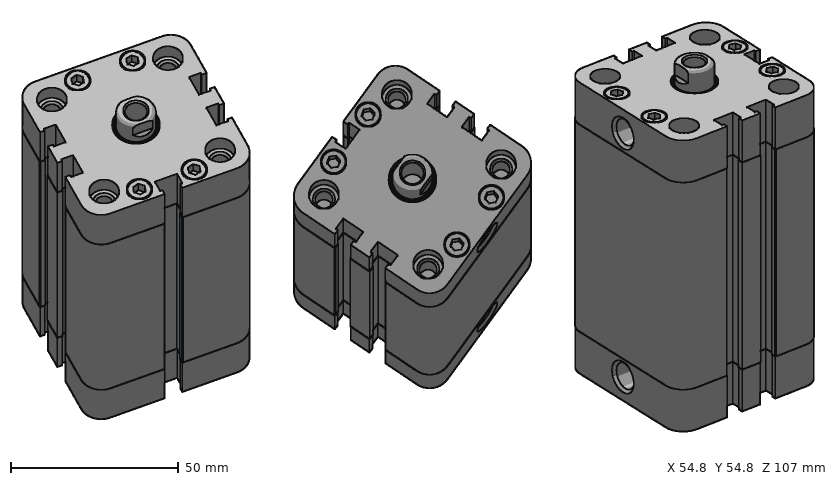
import cadquery as cq
import math

total_height = 107.0
cylinder_height = 100.0
cap_height = 14.4
top_cap_base = cylinder_height - cap_height

barrel_width = 54.8
barrel_corner_radius = 6.8
cap_corner_radius = 6.5
cap_inset = 0.1
cap_side = barrel_width / 2 - cap_inset

slot_depth = 5.5
slot_width = 7.1
mouth_width = 5.6
lip_depth = 1.8
lip_chamfer = 0.3
slot_offset = 6.3

mount_spacing = 38.0
mount_bore_diameter = 9.0
mount_bore_depth = 5.0
thread_diameter = 5.2
thread_mouth_diameter = 6.6

screw_spacing_x = 44.9
screw_spacing_y = 18.0
screw_seat_diameter = 7.7
screw_head_diameter = 7.1
screw_gap_depth = 0.4
screw_socket_across_flats = 3.5
screw_socket_depth = 3.2
screw_socket_turn = 45
hexagon_sides = 6

port_diameter = 8.6
port_mouth_diameter = 10.5
port_chamfer = (port_mouth_diameter - port_diameter) / 2
port_floor_diameter = 40.0
port_end_distance = 8.1

rod_diameter = 12.0
rod_fillet = 1.2
wiper_mouth_diameter = 14.3
wiper_seat_diameter = 13.7
wiper_floor_diameter = 12.5
wiper_depth = 0.5
wiper_mouth_depth = (wiper_mouth_diameter - wiper_seat_diameter) / 2
flat_spacing = 10.1
flat_bottom = 102.7
rod_thread_diameter = 6.6
rod_thread_mouth_diameter = 7.7
rod_thread_depth = 12.8


def cone(lower_diameter, upper_diameter, height, base_z):
    """A Z-axis cone frustum whose lower face is at base_z."""
    solid = cq.Solid.makeCone(lower_diameter / 2, upper_diameter / 2, height)
    return cq.Workplane(solid).translate((0, 0, base_z))


def cylinder(diameter, height, base_z):
    """A Z-axis cylinder whose lower face is at base_z."""
    return cq.Workplane().workplane(offset=base_z).circle(diameter / 2).extrude(height)


def t_slots(inset):
    """Cutters for two slots in each Y side and one in the +X side, enlarged all round by inset."""
    side = barrel_width / 2
    floor = side - slot_depth - inset
    cavity_width = slot_width + 2 * inset
    narrow_width = mouth_width + 2 * inset
    cavity = cq.Workplane().box(
        cavity_width, side - lip_depth + inset - floor, cylinder_height, centered=(True, False, False)
    )
    mouth = cq.Workplane().box(narrow_width, side - floor, cylinder_height, centered=(True, False, False))
    slot = cavity.union(mouth).translate((0, floor, 0))
    cutters = slot.rotate((0, 0, 0), (0, 0, 1), -90)
    for turn in (0, 180):
        for offset in (-slot_offset, slot_offset):
            cutters = cutters.union(slot.translate((offset, 0, 0)).rotate((0, 0, 0), (0, 0, 1), turn))
    return cutters


def lip_chamfers():
    """Cutters that break the outer edges of the slot lips, except those of the ribs between slots."""
    side = barrel_width / 2
    wedge = (
        cq.Workplane()
        .moveTo(mouth_width / 2, side)
        .lineTo(mouth_width / 2 + lip_chamfer, side)
        .lineTo(mouth_width / 2, side - lip_chamfer)
        .close()
        .extrude(cylinder_height)
    )
    side_wedges = wedge.union(wedge.mirror("YZ"))
    cutters = side_wedges.rotate((0, 0, 0), (0, 0, 1), -90)
    outer_wedge = wedge.translate((slot_offset, 0, 0))
    outer_pair = outer_wedge.union(outer_wedge.mirror("YZ"))
    return cutters.union(outer_pair).union(outer_pair.mirror("XZ"))


def profile_block(inset, radius, base_z, height):
    """A slotted block whose flat sides are set back from those of the barrel by inset."""
    width = barrel_width - 2 * inset
    block = cq.Workplane().workplane(offset=base_z).rect(width, width).extrude(height)
    return block.edges("|Z").fillet(radius).cut(t_slots(inset))


def port(center_z):
    """Cutter for a port with a chamfered mouth in the -X side and a floor curved about the Z axis."""
    bore = cylinder(port_diameter, cap_side, 0)
    mouth = cone(port_mouth_diameter, port_diameter, port_chamfer, 0)
    cutter = bore.union(mouth).rotate((0, 0, 0), (0, 1, 0), 90)
    core = cylinder(port_floor_diameter, cylinder_height, 0)
    return cutter.translate((-cap_side, 0, center_z)).cut(core)


def mounting_hole():
    """Cutter for a counterbored thread hole through the top cap, on the Z axis."""
    seat_z = cylinder_height - mount_bore_depth
    chamfer = (thread_mouth_diameter - thread_diameter) / 2
    thread = cylinder(thread_diameter, seat_z - top_cap_base, top_cap_base)
    mouth = cone(thread_diameter, thread_mouth_diameter, chamfer, seat_z - chamfer)
    bore = cylinder(mount_bore_diameter, mount_bore_depth, seat_z)
    return thread.union(mouth).union(bore)


def screw_recess():
    """Cutter for the annular gap around a screw head and its hexagon socket, on the Z axis."""
    gap = cylinder(screw_seat_diameter, screw_gap_depth, cylinder_height - screw_gap_depth).cut(
        cylinder(screw_head_diameter, screw_gap_depth, cylinder_height - screw_gap_depth)
    )
    across_corners = screw_socket_across_flats / math.cos(math.pi / hexagon_sides)
    socket = (
        cq.Workplane()
        .workplane(offset=cylinder_height - screw_socket_depth)
        .polygon(hexagon_sides, across_corners)
        .extrude(screw_socket_depth)
        .rotate((0, 0, 0), (0, 0, 1), screw_socket_turn)
    )
    return gap.union(socket)


def at_corners(cutter, spacing_x, spacing_y):
    """Copies of a Z-axis cutter at the four corners of a rectangle."""
    copies = cq.Workplane()
    for side_x in (-1, 1):
        for side_y in (-1, 1):
            copies = copies.add(cutter.translate((side_x * spacing_x / 2, side_y * spacing_y / 2, 0)))
    return copies.combine()


def wiper_recess():
    """Cutter for the stepped conical recess around the rod in the top face."""
    seat = cone(wiper_floor_diameter, wiper_seat_diameter, wiper_depth, cylinder_height - wiper_depth)
    mouth_z = cylinder_height - wiper_mouth_depth
    mouth = cone(wiper_seat_diameter, wiper_mouth_diameter, wiper_mouth_depth, mouth_z)
    return seat.union(mouth)


def make_bottom_cap():
    cap = profile_block(cap_inset, cap_corner_radius, 0, cap_height)
    return cap.cut(port(port_end_distance))


def make_barrel():
    barrel_height = top_cap_base - cap_height
    return profile_block(0, barrel_corner_radius, cap_height, barrel_height).cut(lip_chamfers())


def make_top_cap():
    cap = profile_block(cap_inset, cap_corner_radius, top_cap_base, cap_height)
    rod_bore = cylinder(rod_diameter, cap_height, top_cap_base)
    wiper = wiper_recess()
    cap = cap.cut(port(cylinder_height - port_end_distance)).cut(rod_bore).cut(wiper)
    cap = cap.cut(at_corners(mounting_hole(), mount_spacing, mount_spacing))
    return cap.cut(at_corners(screw_recess(), screw_spacing_x, screw_spacing_y))


def wrench_flat():
    """Cutter for the flat on the +X side of the rod, with a 45 degree run-out below it."""
    outward = rod_diameter / 2
    inward = flat_spacing / 2
    return (
        cq.Workplane("XZ")
        .moveTo(inward, total_height)
        .lineTo(inward, flat_bottom)
        .lineTo(outward, flat_bottom - (outward - inward))
        .lineTo(outward, total_height)
        .close()
        .extrude(rod_diameter / 2, both=True)
    )


def make_rod():
    rod = cylinder(rod_diameter, total_height - top_cap_base, top_cap_base)
    rod = rod.faces(">Z").edges().fillet(rod_fillet)
    flat = wrench_flat()
    rod = rod.cut(flat).cut(flat.mirror("YZ"))
    chamfer = (rod_thread_mouth_diameter - rod_thread_diameter) / 2
    thread = cylinder(rod_thread_diameter, rod_thread_depth, total_height - rod_thread_depth)
    mouth = cone(rod_thread_diameter, rod_thread_mouth_diameter, chamfer, total_height - chamfer)
    return rod.cut(thread).cut(mouth)


bottom_cap = make_bottom_cap()
barrel = make_barrel()
top_cap = make_top_cap()
rod = make_rod()

result = cq.Compound.makeCompound([bottom_cap.val(), barrel.val(), top_cap.val(), rod.val()])